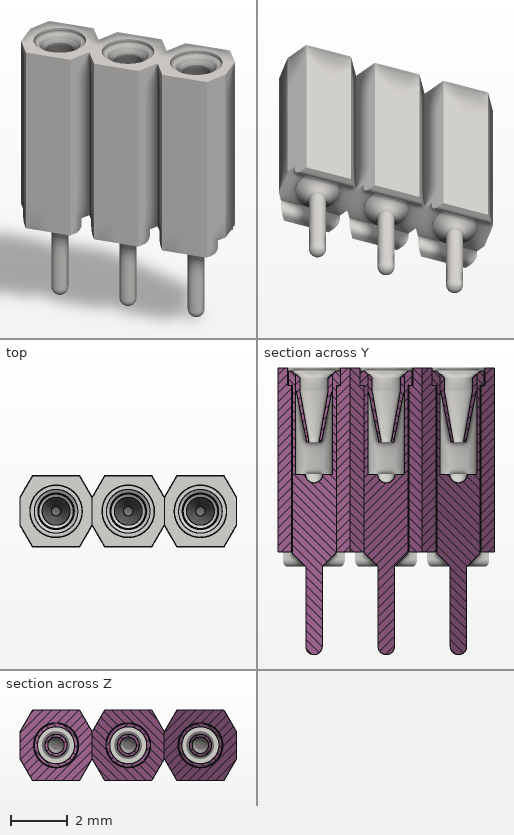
import cadquery as cq
import math

POSITIONS = 3
HOUSING_ROW_LENGTH = 7.62
PITCH = HOUSING_ROW_LENGTH / POSITIONS
TOTAL_HEIGHT = 10.1
HOUSING_HEIGHT = 7.0
TAIL_LENGTH = TOTAL_HEIGHT - HOUSING_HEIGHT

HOUSING_DEPTH = 2.5
SIDE_FLAT = 0.98
CORNER_ANGLE = 30.0
SLOT_WIDTH = 1.6
SLOT_HEIGHT = 0.5
SLOT_LIP_RADIUS = 0.25
SOCKET_HEAD_DIAMETER = 1.85
SOCKET_BODY_DIAMETER = 1.57

SLEEVE_RECESS = 0.11
HEAD_DIAMETER = 1.83
HEAD_HEIGHT = 0.5
BODY_DIAMETER = 1.55
TAIL_DIAMETER = 0.6
FUNNEL_DIAMETER = 1.54
SLEEVE_BORE_DIAMETER = 1.28
SLEEVE_BORE_DEPTH = 3.64
DIMPLE_DIAMETER = 0.6

CLIP_MOUTH_DIAMETER = 1.21
CLIP_BORE_DIAMETER = 0.98
CLIP_BORE_LENGTH = 0.45
CLIP_TIP_OPENING = 0.33
CLIP_TAPER_LENGTH = 1.82
CLIP_TIP_WALL = 0.1

sleeve_top = HOUSING_HEIGHT - SLEEVE_RECESS
head_bottom = sleeve_top - HEAD_HEIGHT
funnel_bottom = sleeve_top - (FUNNEL_DIAMETER - SLEEVE_BORE_DIAMETER) / 2
sleeve_bore_radius = SLEEVE_BORE_DIAMETER / 2
tail_radius = TAIL_DIAMETER / 2


def make_housing():
    """Eight-sided cell with a stepped socket and a round-lipped slot across its underside."""
    corner_depth = (HOUSING_DEPTH - SIDE_FLAT) / 2
    front_flat = PITCH - 2 * corner_depth * math.tan(math.radians(CORNER_ANGLE))
    outline = [
        (PITCH / 2, -SIDE_FLAT / 2),
        (PITCH / 2, SIDE_FLAT / 2),
        (front_flat / 2, HOUSING_DEPTH / 2),
        (-front_flat / 2, HOUSING_DEPTH / 2),
        (-PITCH / 2, SIDE_FLAT / 2),
        (-PITCH / 2, -SIDE_FLAT / 2),
        (-front_flat / 2, -HOUSING_DEPTH / 2),
        (front_flat / 2, -HOUSING_DEPTH / 2),
    ]
    cell = cq.Workplane("XY").polyline(outline).close().extrude(HOUSING_HEIGHT)

    half_slot = SLOT_WIDTH / 2
    half_mouth = half_slot + SLOT_LIP_RADIUS
    slot = (
        cq.Workplane("YZ")
        .moveTo(-half_mouth, 0)
        .radiusArc((-half_slot, SLOT_LIP_RADIUS), -SLOT_LIP_RADIUS)
        .lineTo(-half_slot, SLOT_HEIGHT)
        .lineTo(half_slot, SLOT_HEIGHT)
        .lineTo(half_slot, SLOT_LIP_RADIUS)
        .radiusArc((half_mouth, 0), -SLOT_LIP_RADIUS)
        .close()
        .extrude(PITCH / 2, both=True)
    )
    body_hole = cq.Workplane("XY").circle(SOCKET_BODY_DIAMETER / 2).extrude(HOUSING_HEIGHT)
    head_hole = (
        cq.Workplane("XY")
        .workplane(offset=head_bottom)
        .circle(SOCKET_HEAD_DIAMETER / 2)
        .extrude(HOUSING_HEIGHT - head_bottom)
    )
    return cell.cut(slot).cut(body_hole).cut(head_hole).val()


def make_sleeve():
    """Headed sleeve with a funnelled blind bore, 45-degree shoulder and round-ended tail."""
    bore_bottom = sleeve_top - SLEEVE_BORE_DEPTH
    body_radius = BODY_DIAMETER / 2
    dimple_radius = DIMPLE_DIAMETER / 2
    tip_center = tail_radius - TAIL_LENGTH
    shoulder_top = body_radius - tail_radius
    profile = (
        cq.Workplane("XZ")
        .moveTo(0, -TAIL_LENGTH)
        .radiusArc((tail_radius, tip_center), -tail_radius)
        .lineTo(tail_radius, 0)
        .lineTo(body_radius, shoulder_top)
        .lineTo(body_radius, head_bottom)
        .lineTo(HEAD_DIAMETER / 2, head_bottom)
        .lineTo(HEAD_DIAMETER / 2, sleeve_top)
        .lineTo(FUNNEL_DIAMETER / 2, sleeve_top)
        .lineTo(sleeve_bore_radius, funnel_bottom)
        .lineTo(sleeve_bore_radius, bore_bottom)
        .lineTo(dimple_radius, bore_bottom)
        .radiusArc((0, bore_bottom - dimple_radius), dimple_radius)
        .close()
    )
    return profile.revolve(360, (0, 0, 0), (0, 1, 0)).val()


def make_clip():
    """Ring with a 45-degree lead-in that fits the sleeve bore and tapers to a narrow opening."""
    mouth_radius = CLIP_MOUTH_DIAMETER / 2
    bore_radius = CLIP_BORE_DIAMETER / 2
    opening_radius = CLIP_TIP_OPENING / 2
    bore_top = funnel_bottom - (mouth_radius - bore_radius)
    taper_top = bore_top - CLIP_BORE_LENGTH
    tip = taper_top - CLIP_TAPER_LENGTH
    profile = (
        cq.Workplane("XZ")
        .moveTo(mouth_radius, funnel_bottom)
        .lineTo(sleeve_bore_radius, funnel_bottom)
        .lineTo(sleeve_bore_radius, taper_top)
        .lineTo(opening_radius + CLIP_TIP_WALL, tip)
        .lineTo(opening_radius, tip)
        .lineTo(bore_radius, taper_top)
        .lineTo(bore_radius, bore_top)
        .close()
    )
    return profile.revolve(360, (0, 0, 0), (0, 1, 0)).val()


housing = make_housing()
sleeve = make_sleeve()
clip = make_clip()

housings = []
sleeves = []
clips = []
for index in range(POSITIONS):
    cell_center = cq.Vector((index - (POSITIONS - 1) / 2) * PITCH, 0, 0)
    housings.append(housing.translate(cell_center))
    sleeves.append(sleeve.translate(cell_center))
    clips.append(clip.translate(cell_center))

result = cq.Compound.makeCompound([*housings, *sleeves, *clips])